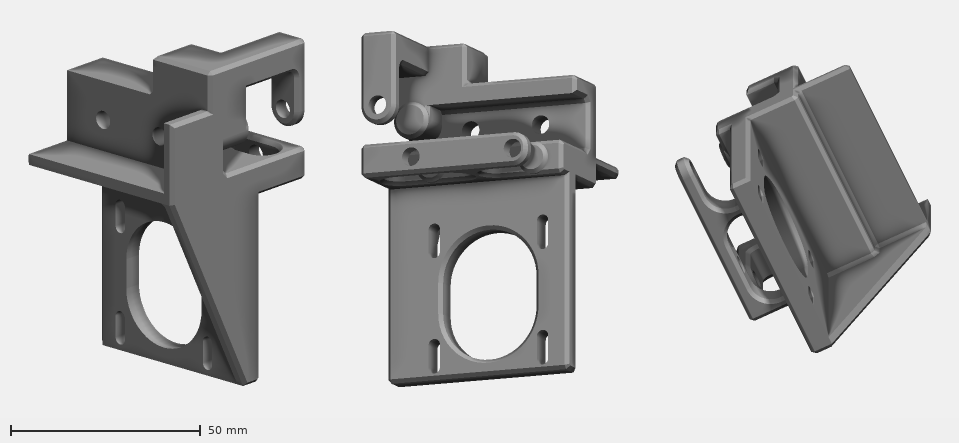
import cadquery as cq

width = 52.0
depth = 53.0
height = 91.0
bevel = 1.0

block_front = 15.0
block_rear = 30.0
block_bottom = 52.05
block_top = 80.1
channel_front = 21.0
channel_floor = 61.0
channel_roof = 75.0
floor_rear = 39.0

plate_front = 28.9
plate_thickness = 6.0
plate_rear = plate_front + plate_thickness

sheet = 3.0
shelf_bottom = 57.5
shelf_top = shelf_bottom + sheet
panel_inside = width - sheet

raised_left = 31.5
arm_left = 42.0
arm_bottom = 82.9
ear_thickness = 4.0
ear_front = depth - ear_thickness
ear_root_fillet = 2 * bevel
upper_pivot_x = (arm_left + width) / 2
upper_pivot_z = 71.25
upper_pivot_radius = (width - arm_left) / 2

motor_x = 22.8

lower_ear_left = 4.3
lower_ear_radius = 4.0
lower_pivot_offset = 14.6
lower_pivot_radius = 4.3
lower_pivot_z = (block_bottom + channel_floor) / 2
neck_x = 22.7
neck_y = 43.0
strip_arc = ear_front - neck_y
floor_arc = neck_y - floor_rear

screw_hole_diameter = 5.0
wall_hole_spacing = 20.0
wall_hole_first_x = 13.8
wall_hole_z = 69.2

motor_z = 21.75
motor_pitch = 31.0
window_width = 26.75
window_height = 34.9
slot_width = 3.3
slot_length = 9.3


def box(x0, x1, y0, y1, z0, z1):
    """Box between the given limits."""
    return cq.Workplane("XY").box(x1 - x0, y1 - y0, z1 - z0, centered=False).translate((x0, y0, z0))


def extrude_along_x(points, x0, x1):
    """Extrude a closed (y, z) outline from x0 to x1."""
    return cq.Workplane("YZ", origin=(x0, 0, 0)).polyline(points).close().extrude(x1 - x0)


def edges_near(body, x0, x1, y0, y1, z0, z1):
    """Edges of body whose middle lies in the given block of space."""
    margin = 0.05
    low = (x0 - margin, y0 - margin, z0 - margin)
    high = (x1 + margin, y1 + margin, z1 + margin)
    return body.edges(cq.selectors.BoxSelector(low, high))


def cylinder_along_y(x, z, radius, y0, y1):
    """Cylinder from y0 to y1 about the axis through x and z."""
    return cq.Workplane("XZ", origin=(x, y0, z)).circle(radius).extrude(y0 - y1)


def pivot_pad(x, z, radius, y):
    """Tapered pad standing one bevel proud of the face at y."""
    disc = cq.Workplane("XZ", origin=(x, y - bevel, z)).circle(radius).extrude(-2 * bevel)
    return disc.faces(">Y").chamfer(bevel)


def make_base_section():
    """Channel block, plate and shelf as one section over the full width."""
    outline = [
        (0, shelf_bottom),
        (0, shelf_top),
        (block_front, shelf_top),
        (block_front, block_top),
        (block_rear - bevel, block_top),
        (block_rear, block_top - bevel),
        (block_rear, channel_roof),
        (channel_front + bevel, channel_roof),
        (channel_front, channel_roof - bevel),
        (channel_front, channel_floor + bevel),
        (channel_front + bevel, channel_floor),
        (floor_rear - bevel, channel_floor),
        (floor_rear, channel_floor - bevel),
        (floor_rear, block_bottom + bevel),
        (floor_rear - bevel, block_bottom),
        (plate_rear, block_bottom),
        (plate_rear, bevel),
        (plate_rear - bevel, 0),
        (plate_front, 0),
        (plate_front, block_bottom),
        (block_front + bevel, block_bottom),
        (block_front, block_bottom + bevel),
        (block_front, shelf_bottom),
    ]
    return extrude_along_x(outline, 0, width)


def make_side_panel():
    """Right-hand wall above the shelf, running down as a gusset to the plate's foot."""
    outline = [
        (0, shelf_bottom),
        (0, block_top),
        (block_front + bevel, block_top),
        (block_front + bevel, block_bottom + bevel),
        (plate_front, block_bottom + bevel),
        (plate_front, 0),
    ]
    return extrude_along_x(outline, panel_inside, width)


def make_base():
    """Section and side panel, with beveled end faces and beveled inside corners under the shelf."""
    base = make_base_section().union(make_side_panel())
    base = base.faces("<X or >X").edges().chamfer(bevel)
    panel_corners = edges_near(
        base, panel_inside, panel_inside, 0, plate_front - bevel, block_bottom, shelf_bottom
    )
    shelf_corner = edges_near(base, 0, width, block_front, block_front, shelf_bottom, shelf_bottom)
    return panel_corners.add(shelf_corner).chamfer(bevel)


def make_raised_block():
    """Taller right-hand half of the block; its lower end fills the beveled edges of the base."""
    block = box(raised_left, width, block_front, block_rear, channel_roof + bevel, height)
    return block.edges(">Z or (|Z and (>X or >Y))").chamfer(bevel)


def make_hook():
    """Arm running to the rear from the raised block, ending in a round ear that hangs down."""
    arm = box(arm_left, width, block_rear - bevel, depth, arm_bottom, height)
    ear = box(arm_left, width, ear_front, depth, upper_pivot_z, height)
    ear_end = cylinder_along_y(upper_pivot_x, upper_pivot_z, upper_pivot_radius, ear_front, depth)
    hook = arm.union(ear).union(ear_end)
    hook = hook.faces("<Y[1]").edges(">Z").fillet(ear_root_fillet)
    hook = hook.edges("(|Z or >Z) and (not <Y)").chamfer(bevel)
    pin = cylinder_along_y(upper_pivot_x, upper_pivot_z, screw_hole_diameter / 2, ear_front, depth)
    return hook.cut(pin)


def make_lug():
    """Round-bottomed lug across the channel, facing the hanging ear."""
    front = channel_front - bevel
    lug = box(arm_left, width, front, block_rear, upper_pivot_z, channel_roof + bevel)
    lug = lug.edges("|Z and >Y").chamfer(bevel)
    lug = lug.union(cylinder_along_y(upper_pivot_x, upper_pivot_z, upper_pivot_radius, front, block_rear))
    return lug.union(pivot_pad(upper_pivot_x, upper_pivot_z, upper_pivot_radius, block_rear))


def make_lower_clamp():
    """Strip behind the block floor, joined to it by a neck and an end web, with two pivots."""
    neck_left = neck_x - sheet / 2
    neck_right = neck_x + sheet / 2
    root_front = floor_rear - 3 * bevel
    root_left = neck_left - 2 * floor_arc
    plane = cq.Workplane("XY", origin=(0, 0, block_bottom))
    thickness = channel_floor - block_bottom
    strip = (
        plane.moveTo(width, root_front)
        .lineTo(root_left, root_front)
        .lineTo(root_left, floor_rear)
        .lineTo(neck_left - floor_arc, floor_rear)
        .radiusArc((neck_left, neck_y), -floor_arc)
        .radiusArc((neck_left - strip_arc, ear_front), -strip_arc)
        .lineTo(lower_ear_left, ear_front)
        .lineTo(lower_ear_left, depth)
        .lineTo(width, depth)
        .close()
        .extrude(thickness)
    )
    strip = strip.edges("|Y and <X").fillet(lower_ear_radius)
    window = (
        plane.moveTo(neck_right + floor_arc, floor_rear)
        .radiusArc((neck_right, neck_y), floor_arc)
        .radiusArc((neck_right + strip_arc, ear_front), strip_arc)
        .lineTo(panel_inside - strip_arc, ear_front)
        .radiusArc((panel_inside, neck_y), strip_arc)
        .radiusArc((panel_inside - floor_arc, floor_rear), floor_arc)
        .close()
        .extrude(thickness)
    )
    clamp = strip.cut(window).edges("(|X or >X) and (not <Y)").chamfer(bevel)
    for x in (motor_x - lower_pivot_offset, motor_x + lower_pivot_offset):
        clamp = clamp.cut(cylinder_along_y(x, lower_pivot_z, screw_hole_diameter / 2, ear_front, depth))
        clamp = clamp.union(pivot_pad(x, lower_pivot_z, lower_pivot_radius, floor_rear))
    return clamp


def make_wall_holes():
    """Cutters for the two screw holes through the block's front wall."""
    radius = screw_hole_diameter / 2
    holes = cq.Workplane("XY")
    for number in range(2):
        x = wall_hole_first_x + number * wall_hole_spacing
        holes = holes.add(cylinder_along_y(x, wall_hole_z, radius, block_front, channel_front))
    return holes.combine()


def make_motor_cutouts():
    """Cutters for the four screw slots and the motor window, whose rear edge is beveled."""
    plane = cq.Workplane("XZ", origin=(motor_x, plate_front, motor_z))
    window = plane.slot2D(window_height, window_width, 90).extrude(-plate_thickness)
    flare = plane.workplane(offset=-plate_thickness)
    flare = flare.slot2D(window_height + 2 * bevel, window_width + 2 * bevel, 90)
    window = window.union(flare.extrude(bevel, taper=45))
    slots = plane.rect(motor_pitch, motor_pitch, forConstruction=True).vertices()
    slots = slots.slot2D(slot_length, slot_width, 90).extrude(-plate_thickness)
    return window.union(slots)


result = (
    make_base()
    .union(make_raised_block())
    .union(make_hook())
    .union(make_lug())
    .union(make_lower_clamp())
)
step_corner = edges_near(result, raised_left, raised_left, block_front, block_rear, block_top, block_top)
result = step_corner.chamfer(bevel).cut(make_wall_holes()).cut(make_motor_cutouts())